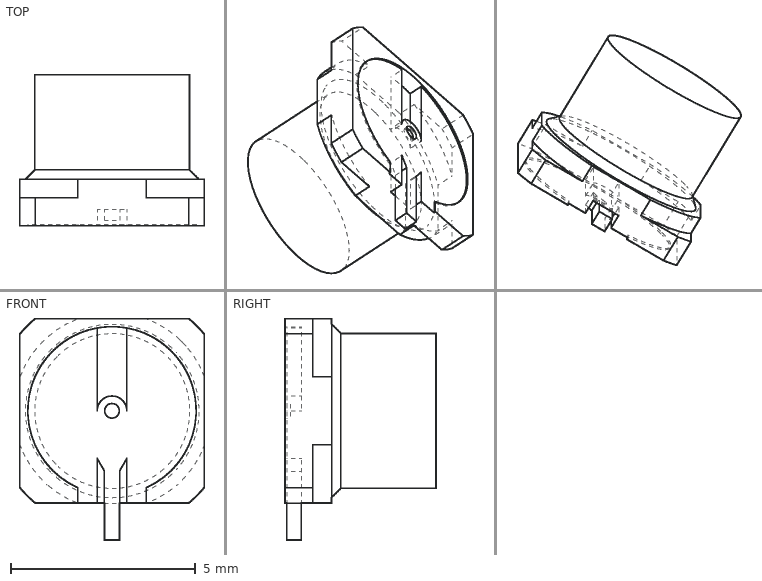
import cadquery as cq


flange_side = 5.0
flange_corner_radius = 3.25
collar_radius = 2.665
flange_thickness = 0.76
collar_end = 1.265

barrel_radius = 2.1
cone_length = 0.25
cone_base_radius = barrel_radius + cone_length
barrel_end = 4.1

recess_radius = 2.28
recess_depth = 0.05
recess_exit_width = 1.86

pin_width = 0.805
pin_thickness = 0.4
tail_width = 0.41
taper_start = -1.29
taper_end = -1.63
total_height = 6.0
tail_end = flange_side / 2 - total_height
dimple_radius = 0.2
dimple_depth = 0.1


def disc(radius, start, end):
    """Cylinder about the connector axis between two Y positions."""
    return cq.Workplane("XZ", origin=(0, start, 0)).circle(radius).extrude(start - end)


def block(width, bottom, top, start, end):
    """Box centred on X = 0 with the given Z and Y limits."""
    size = (width, end - start, top - bottom)
    return cq.Workplane("XY", origin=(0, start, bottom)).box(*size, centered=(True, False, False))


def make_flange():
    half = flange_side / 2
    square = block(flange_side, -half, half, 0, collar_end)
    plate = disc(flange_corner_radius, 0, flange_thickness)
    collar = disc(collar_radius, flange_thickness, collar_end)
    return square.intersect(plate.union(collar))


def make_barrel():
    cone_end = collar_end + cone_length
    profile = [
        (0, collar_end),
        (cone_base_radius, collar_end),
        (barrel_radius, cone_end),
        (barrel_radius, barrel_end),
        (0, barrel_end),
    ]
    return cq.Workplane("XY").polyline(profile).close().revolve(360, (0, 0), (0, 1))


def make_recess():
    bottom = -flange_side / 2
    exit_slot = block(recess_exit_width, bottom, 0, 0, recess_depth)
    return disc(recess_radius, 0, recess_depth).union(exit_slot)


def make_groove():
    """Pin groove: open at the bottom edge, ending on the recess circle at the top."""
    groove_end = recess_depth + pin_thickness
    lower = block(pin_width, -flange_side / 2, 0, 0, groove_end)
    upper = block(pin_width, 0, recess_radius, 0, groove_end)
    return lower.union(upper.intersect(disc(recess_radius, 0, groove_end)))


def make_pin():
    wide = pin_width / 2
    narrow = tail_width / 2
    body = (
        cq.Workplane("XZ", origin=(0, recess_depth, 0))
        .moveTo(-wide, 0)
        .threePointArc((0, wide), (wide, 0))
        .lineTo(wide, taper_start)
        .lineTo(narrow, taper_end)
        .lineTo(narrow, tail_end)
        .lineTo(-narrow, tail_end)
        .lineTo(-narrow, taper_end)
        .lineTo(-wide, taper_start)
        .close()
        .extrude(-pin_thickness)
    )
    return body.cut(disc(dimple_radius, recess_depth, recess_depth + dimple_depth))


housing = make_flange().union(make_barrel()).cut(make_recess()).cut(make_groove())
result = housing.union(make_pin())